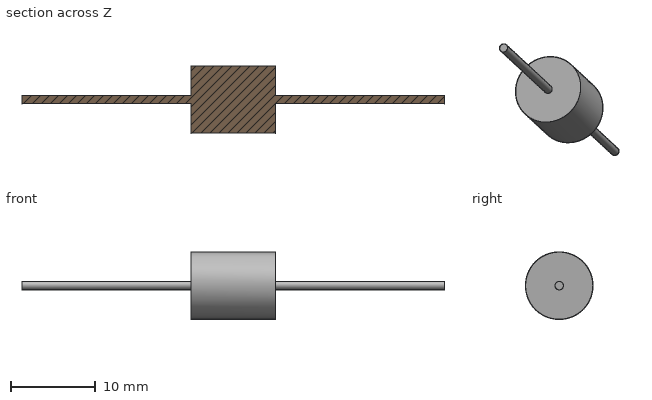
import cadquery as cq

overall_length = 50.0
body_length = 10.0
body_diameter = 8.0
lead_diameter = 1.0


def centred_cylinder(diameter, length):
    """Cylinder along X, centred on the origin."""
    start_plane = cq.Workplane("YZ").workplane(offset=-length / 2)
    return start_plane.circle(diameter / 2).extrude(length)


body = centred_cylinder(body_diameter, body_length)
leads = centred_cylinder(lead_diameter, overall_length)

result = body.union(leads)